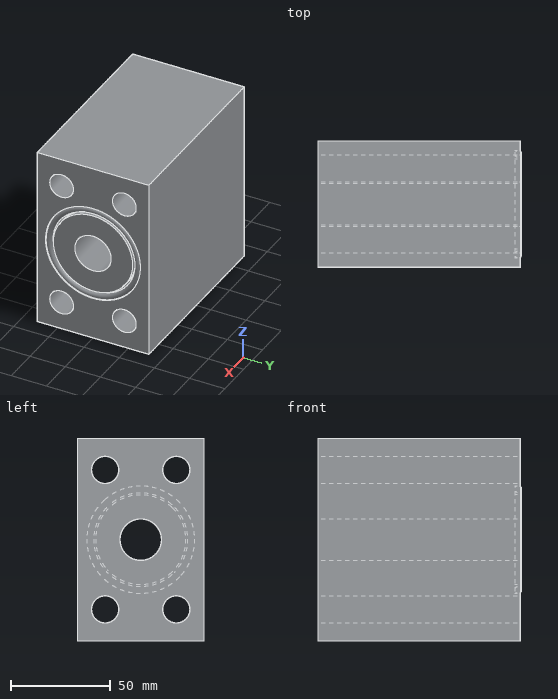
import cadquery as cq

OVERALL_LENGTH = 102.2
BLOCK_LENGTH = 101.6
BLOCK_WIDTH = 63.5
BLOCK_HEIGHT = 101.6
SEAL_FACE_X = BLOCK_LENGTH / 2

PORT_DIAMETER = 20.6
BOLT_DIAMETER = 13.5
BOLT_SPACING_Y = 35.7
BOLT_SPACING_Z = 69.9

SEAL_SECTION_DIAMETER = 3.5
SEAL_PROTRUSION = OVERALL_LENGTH - BLOCK_LENGTH
GROOVE_OUTER_DIAMETER = 54.0
GROOVE_INNER_DIAMETER = 45.1
GROOVE_DEPTH = SEAL_SECTION_DIAMETER - SEAL_PROTRUSION


def make_groove_cutter():
    """Annular cutter reaching from the +X face down to the groove floor."""
    return (
        cq.Workplane("YZ", origin=(SEAL_FACE_X, 0, 0))
        .circle(GROOVE_OUTER_DIAMETER / 2)
        .circle(GROOVE_INNER_DIAMETER / 2)
        .extrude(-GROOVE_DEPTH)
    )


def make_block():
    """Rectangular block with a central port, four bolt holes and a seal groove."""
    block = cq.Workplane("XY").box(BLOCK_LENGTH, BLOCK_WIDTH, BLOCK_HEIGHT)
    block = block.faces(">X").workplane().hole(PORT_DIAMETER)
    block = (
        block.faces(">X")
        .workplane()
        .rect(BOLT_SPACING_Y, BOLT_SPACING_Z, forConstruction=True)
        .vertices()
        .hole(BOLT_DIAMETER)
    )
    return block.cut(make_groove_cutter()).solids()


def make_seal():
    """O-ring that rests on the groove floor and against the groove's outer wall."""
    section_radius = SEAL_SECTION_DIAMETER / 2
    section_centre_x = SEAL_FACE_X - GROOVE_DEPTH + section_radius
    pitch_radius = GROOVE_OUTER_DIAMETER / 2 - section_radius
    ring = cq.Solid.makeTorus(
        pitch_radius,
        section_radius,
        cq.Vector(section_centre_x, 0, 0),
        cq.Vector(1, 0, 0),
    )
    return cq.Workplane("XY").newObject([ring])


block = make_block()
seal = make_seal()

result = cq.Compound.makeCompound([block.val(), seal.val()])